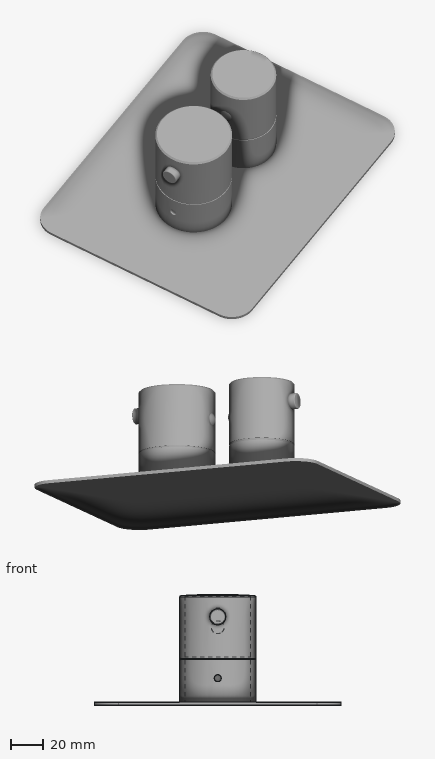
import cadquery as cq
import math

plate_width = 154.0
plate_length = 192.0
plate_thickness = 2.0
plate_corner_radius = 15.0

total_height = 69.36
groove_depth = 0.4
edge_chamfer = 1.0
pin_diameter = 10.0
pin_end_fillet = 0.5
button_diameter = 8.0
button_dome_rise = 1.6

rear_y = 30.3
rear_radius = 20.5
rear_side_height = 67.0
rear_dome_rise = total_height - plate_thickness - rear_side_height
rear_groove_bottom = 26.8
rear_groove_height = 1.3
rear_pin_height = 53.8
rear_pin_reach = 24.5
rear_button_reach = 22.5

front_y = -27.7
front_radius = 24.0
front_side_height = 66.7
front_dome_rise = total_height - plate_thickness - front_side_height
front_groove_bottom = 26.6
front_groove_height = 0.8
front_pin_height = 53.3
front_pin_reach = 28.6
front_button_reach = 25.8

button_height = 46.8

screw_hole_diameter = 4.4
screw_hole_depth = 3.0
screw_hole_height = 15.0


def make_plate():
    plate = cq.Workplane("XY").rect(plate_width, plate_length).extrude(plate_thickness)
    return plate.edges("|Z").fillet(plate_corner_radius)


def make_knob(radius, side_height, dome_rise, groove_bottom, groove_height):
    """Round body standing on Z = 0, with a ring groove, a chamfered rim and a slightly domed top."""
    groove_radius = radius - groove_depth
    groove_top = groove_bottom + groove_height
    return (
        cq.Workplane("XZ")
        .lineTo(radius, 0)
        .lineTo(radius, groove_bottom)
        .lineTo(groove_radius, groove_bottom)
        .lineTo(groove_radius, groove_top)
        .lineTo(radius, groove_top)
        .lineTo(radius, side_height - edge_chamfer)
        .lineTo(radius - edge_chamfer, side_height)
        .lineTo(0, side_height + dome_rise)
        .close()
        .revolve(360, (0, 0), (0, 1))
    )


def make_pin(height, reach):
    """Round pin from the knob axis out to -Y, with a rounded end."""
    pin = cq.Workplane("XZ").center(0, height).circle(pin_diameter / 2).extrude(reach)
    return pin.faces("<Y").edges().fillet(pin_end_fillet)


def make_button(reach):
    """Round button from the knob axis out to +Y, closed by a dome that springs from its rim."""
    radius = button_diameter / 2
    rim = reach - button_dome_rise
    dome_radius = (radius**2 + button_dome_rise**2) / (2 * button_dome_rise)
    dome_centre = reach - dome_radius
    half_angle = math.asin(radius / dome_radius) / 2
    mid_arc = (dome_radius * math.sin(half_angle), dome_centre + dome_radius * math.cos(half_angle))
    return (
        cq.Workplane("XY", origin=(0, 0, button_height))
        .lineTo(radius, 0)
        .lineTo(radius, rim)
        .threePointArc(mid_arc, (0, reach))
        .close()
        .revolve(360, (0, 0), (0, 1))
    )


def make_screw_hole():
    hole_bottom = front_radius - screw_hole_depth
    return (
        cq.Workplane("XZ", origin=(0, -hole_bottom, screw_hole_height))
        .circle(screw_hole_diameter / 2)
        .extrude(screw_hole_depth)
    )


def make_rear_handle():
    handle = make_knob(
        rear_radius, rear_side_height, rear_dome_rise, rear_groove_bottom, rear_groove_height
    )
    handle = handle.union(make_pin(rear_pin_height, rear_pin_reach))
    handle = handle.union(make_button(rear_button_reach))
    handle = handle.rotate((0, 0, 0), (0, 0, 1), 180)
    return handle.translate((0, rear_y, plate_thickness))


def make_front_handle():
    handle = make_knob(
        front_radius, front_side_height, front_dome_rise, front_groove_bottom, front_groove_height
    )
    handle = handle.union(make_pin(front_pin_height, front_pin_reach))
    handle = handle.union(make_button(front_button_reach))
    handle = handle.cut(make_screw_hole())
    return handle.translate((0, front_y, plate_thickness))


plate = make_plate()
rear_handle = make_rear_handle()
front_handle = make_front_handle()

result = cq.Compound.makeCompound([plate.val(), rear_handle.val(), front_handle.val()])